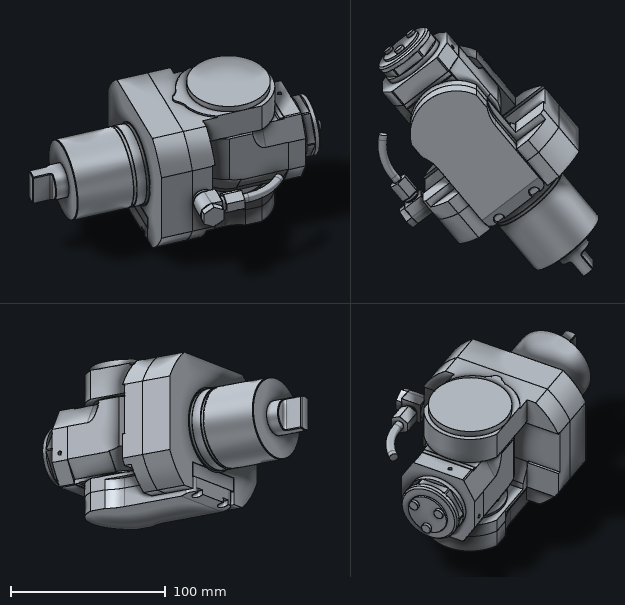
import cadquery as cq
import math

overall_length = 196.38
hexagon_half_step = 30.0

flange_half_width = 50.0
flange_half_height = 44.75
flange_corner_radius = 55.75
adapter_thickness = 21.3
flange_back = 37.1

shank_diameter = 54.0
shank_end = 49.5
shank_chamfer = 0.5
neck_diameter = 53.6
neck_length = 1.6
neck_recess_diameter = 55.8
neck_recess_depth = 0.5
groove_diameter = 52.44
groove_start = 8.2
groove_end = 10.5
tang_diameter = 23.0
tang_round_end = 58.6
tang_tip = 71.8
tang_thickness = 8.4
tang_root_radius = 1.5
tang_chamfer = 0.5

pivot_y = 64.7
fork_half_width = 27.0
cheek_end_radius = 30.0
cheek_side_end = pivot_y + math.sqrt(cheek_end_radius**2 - fork_half_width**2)
cheek_inner = 26.6
cheek_top = 46.0
cap_diameter = 54.0
cap_top = 50.25
washer_radius = 24.2
head_half_height = 24.9
flange_relief_y = 35.3
flange_relief_bottom = -8.3
pad_shoulder = (7.4, 31.2)
pad_side = (19.2, 36.9)
pad_side_start = 47.0
pad_nose_root = (3.9, 28.6)
pad_nose_y = 26.4
gusset_tip_y = 42.7
gusset_slope_end = -22.0
gusset_gap = 0.8

plate_top = -36.0
plate_bottom = -48.5
plate_front = 0.4
plate_half_width = 23.6
plate_corner_radius = 5.0
plate_slope_length = 8.6
plate_slope_height = 2.5
scoop_back = 66.6
scoop_front = 53.7
side_pocket_front = 32.0
side_pocket_top = -29.0
recess_top = -27.0
screw_pocket_diameter = 7.0
screw_pocket_x = 14.6
screw_pocket_y = 2.6
screw_pocket_roof = -43.0

head_nose_radius = 28.0
head_step = 96.0
head_back = 108.0
head_flange_half_height = 26.0
head_front_half_width = 26.9
head_flat_x = 18.7
head_corner_chamfer = 0.6
head_flat_z = 11.1
head_upper_corner_start = 80.5
head_runout_radius = 9.5
head_lower_corner_z = -10.6
head_keel_z = -22.5
nose_foot_radius = 19.4
head_collar_start = 92.0
head_collar_slope = 1.0
head_collar_half_height = 25.6
index_hole_diameter = 2.55
index_hole_depth = 3.0
index_hole_offset = 5.7
index_hole_y = 102.1

nut_diameter = 41.0
nut_flats = 36.0
nut_hex_start = 111.4
nut_hex_end = 117.2
nut_end = 121.1
nut_edge_chamfer = 1.2
nut_face_diameter = 28.0
nut_face_end = 122.5
stud_diameter = 6.5
stud_circle_radius = 10.6
stud_end = overall_length - tang_tip
stud_count = 3
stud_first_angle = 30.0

fitting_y = 28.6
collar_diameter = 14.5
collar_end = 52.2
elbow_width = 15.2
elbow_end = 66.0
end_hex_diameter = 16.0
fitting_end = 70.7
port_x = 58.9
port_diameter = 8.2
ring_diameter = 9.8
port_ring_start = 37.2
hose_nut_start = 39.5
hose_nut_end = 52.0
hose_nut_flats = 12.0
hose_diameter = 6.1
hose_straight = 4.0
hose_bend_radius = 34.0
hose_tail = 3.5
hose_bend_angle = 45.0


def cylinder_y(diameter, start, end):
    """Cylinder along Y on the shank axis."""
    return cq.Workplane("XZ", origin=(0, start, 0)).circle(diameter / 2).extrude(start - end)


def block(x_range, y_range, z_range):
    """Box between the given limits."""
    (x0, x1), (y0, y1), (z0, z1) = x_range, y_range, z_range
    return cq.Workplane("XY").box(x1 - x0, y1 - y0, z1 - z0, centered=False).translate((x0, y0, z0))


def profile_along_x(points, half_width):
    """Polygon of (y, z) points extruded to both sides of X = 0."""
    return cq.Workplane("YZ").polyline(points).close().extrude(half_width, both=True)


def flange_block(start, end):
    """Flange slab whose four corners are rounded about the shank axis."""
    slab = block(
        (-flange_half_width, flange_half_width), (start, end), (-flange_half_height, flange_half_height)
    )
    return slab.intersect(cylinder_y(2 * flange_corner_radius, start, end))


def plate_channel():
    """Space of the clamp plate through the flange block."""
    return block(
        (-plate_half_width, plate_half_width), (0, flange_back), (plate_bottom, plate_top)
    )


def make_adapter():
    """Front flange with the shank and the drive tang."""
    body = flange_block(0, adapter_thickness).cut(plate_channel())
    front_recess = block(
        (-plate_half_width, plate_half_width), (0, plate_front), (-flange_half_height, recess_top)
    )
    body = body.cut(front_recess).cut(cylinder_y(neck_recess_diameter, 0, neck_recess_depth))

    shank = cylinder_y(shank_diameter, -neck_length, -shank_end).faces("<Y").chamfer(shank_chamfer)
    groove = cylinder_y(shank_diameter, -groove_start, -groove_end)
    groove = groove.cut(cylinder_y(groove_diameter, -groove_start, -groove_end))
    neck = cylinder_y(neck_diameter, adapter_thickness / 2, -neck_length)
    return body.union(neck).union(shank.cut(groove)).union(make_tang())


def make_tang():
    """Round stub milled down to a flat key with rounded roots."""
    tang = cylinder_y(tang_diameter, -shank_end, -tang_tip)
    half = tang_thickness / 2
    outside = tang_diameter
    for side in (-1, 1):
        cheek_cut = block((half, outside), (-tang_tip, -tang_round_end), (-outside, outside))
        cheek_cut = cheek_cut.edges("|Z and <X and >Y").fillet(tang_root_radius)
        if side < 0:
            cheek_cut = cheek_cut.mirror("YZ")
        tang = tang.cut(cheek_cut)

    radius = tang_diameter / 2
    for side in (-1, 1):
        shoulder = cq.selectors.BoxSelector(
            (side * radius / 2, -tang_round_end - tang_chamfer, -radius),
            (side * radius, -tang_round_end + tang_chamfer, radius),
        )
        tang = tang.edges(shoulder - cq.selectors.StringSyntaxSelector("|Z")).chamfer(tang_chamfer)
    return tang.faces("<Y").edges().chamfer(tang_chamfer)


def cheek_outline(plane_z):
    """Fork outline behind the flange: straight sides and a round end about the pivot."""
    return (
        cq.Workplane("XY", origin=(0, 0, plane_z))
        .moveTo(-fork_half_width, adapter_thickness)
        .lineTo(-fork_half_width, cheek_side_end)
        .threePointArc((0, pivot_y + cheek_end_radius), (fork_half_width, cheek_side_end))
        .lineTo(fork_half_width, adapter_thickness)
        .close()
    )


def make_pad():
    """Raised pad on the top cheek, pointed toward the flange face."""
    shoulder_x, shoulder_y = pad_shoulder
    side_x, side_y = pad_side
    root_x, root_y = pad_nose_root
    return (
        cq.Workplane("XY", origin=(0, 0, cheek_inner))
        .moveTo(fork_half_width, cheek_side_end)
        .lineTo(fork_half_width, pad_side_start)
        .threePointArc((side_x, side_y), (shoulder_x, shoulder_y))
        .lineTo(root_x, root_y)
        .threePointArc((0, pad_nose_y), (-root_x, root_y))
        .lineTo(-shoulder_x, shoulder_y)
        .threePointArc((-side_x, side_y), (-fork_half_width, pad_side_start))
        .lineTo(-fork_half_width, cheek_side_end)
        .threePointArc((0, pivot_y + cheek_end_radius), (fork_half_width, cheek_side_end))
        .close()
        .extrude(cheek_top - cheek_inner)
    )


def side_pocket(side):
    """Pocket beside the lower cheek, running out to the cheek side on a round scoop."""
    outer = flange_half_width + 1
    step = fork_half_width - plate_half_width
    run = scoop_back - scoop_front
    scoop_radius = (run**2 + step**2) / (2 * step)
    half_run = run / 2
    mid_x = plate_half_width + scoop_radius - math.sqrt(scoop_radius**2 - half_run**2)
    pocket = (
        cq.Workplane("XY", origin=(0, 0, plate_bottom))
        .moveTo(plate_half_width, side_pocket_front)
        .lineTo(plate_half_width, scoop_front)
        .threePointArc((mid_x, scoop_front + half_run), (fork_half_width, scoop_back))
        .lineTo(outer, scoop_back)
        .lineTo(outer, side_pocket_front)
        .close()
        .extrude(side_pocket_top - plate_bottom)
    )
    return pocket if side > 0 else pocket.mirror("YZ")


def make_fork():
    """Rear flange half with two cheeks that hold the swivel head."""
    fork = flange_block(adapter_thickness, flange_back)
    relief = block(
        (-flange_half_width, flange_half_width),
        (flange_relief_y, flange_back),
        (flange_relief_bottom, head_half_height),
    )
    nose_room = block(
        (-fork_half_width, fork_half_width),
        (flange_relief_y, flange_back),
        (-head_half_height, flange_relief_bottom),
    )
    fork = fork.cut(relief).cut(nose_room)
    upper_cheek = cheek_outline(cheek_inner).extrude(flange_half_height - cheek_inner)
    lower_cheek = cheek_outline(plate_top).extrude(-cheek_inner - plate_top)
    gusset = profile_along_x(
        [
            (adapter_thickness, flange_relief_bottom),
            (flange_relief_y, flange_relief_bottom),
            (flange_relief_y, flange_relief_bottom - gusset_gap),
            (gusset_tip_y, gusset_slope_end),
            (gusset_tip_y, -cheek_inner),
            (adapter_thickness, -cheek_inner),
        ],
        fork_half_width,
    )
    cap = cq.Workplane("XY", origin=(0, pivot_y, cheek_top)).circle(cap_diameter / 2)
    cap = cap.extrude(cap_top - cheek_top)
    for part in (upper_cheek, lower_cheek, gusset, make_pad(), cap):
        fork = fork.union(part)

    washer_height = cheek_inner - head_half_height
    for washer_bottom in (head_half_height, -cheek_inner):
        washer = cq.Workplane("XY", origin=(0, pivot_y, washer_bottom)).circle(washer_radius)
        fork = fork.union(washer.extrude(washer_height))

    fork = fork.cut(plate_channel())
    for side in (-1, 1):
        fork = fork.cut(side_pocket(side))
    return fork


def make_clamp_plate():
    """Plate under the fork, reaching through the flange to its front face."""
    thickness = plate_top - plate_bottom
    plate = cheek_outline(plate_bottom).extrude(thickness)
    for side in (-1, 1):
        plate = plate.cut(side_pocket(side))
        beside = block(
            (plate_half_width, fork_half_width), (0, side_pocket_front), (plate_bottom, plate_top)
        )
        plate = plate.cut(beside if side > 0 else beside.mirror("YZ"))
    tongue = block(
        (-plate_half_width, plate_half_width), (plate_front, flange_back), (plate_bottom, plate_top)
    )
    tongue = tongue.edges("|Z and <Y").fillet(plate_corner_radius)
    plate = plate.union(tongue)

    front_slope = profile_along_x(
        [
            (plate_front, plate_bottom),
            (plate_front + plate_slope_length, plate_bottom),
            (plate_front, plate_bottom + plate_slope_height),
        ],
        plate_half_width,
    )
    screw_pockets = (
        cq.Workplane("XY", origin=(0, 0, plate_bottom))
        .pushPoints([(side * screw_pocket_x, screw_pocket_y) for side in (-1, 1)])
        .circle(screw_pocket_diameter / 2)
        .extrude(screw_pocket_roof - plate_bottom)
    )
    return plate.cut(front_slope).cut(screw_pockets)


def make_head():
    """Swivel head: round nose between the cheeks and a bevelled block at the back."""
    nose_y = flange_relief_y
    nose_center_y = nose_y + head_nose_radius
    nose_side_y = nose_center_y - math.sqrt(head_nose_radius**2 - head_front_half_width**2)
    front = (
        cq.Workplane("XY", origin=(0, 0, -head_half_height))
        .moveTo(-head_front_half_width, head_step)
        .lineTo(-head_front_half_width, nose_side_y)
        .threePointArc((0, nose_y), (head_front_half_width, nose_side_y))
        .lineTo(head_front_half_width, head_step)
        .close()
        .extrude(2 * head_half_height)
    )
    for side in (-1, 1):
        front = front.cut(upper_bevel(side)).cut(lower_bevel(side, nose_center_y))
    front = front.cut(make_nose_undercut(nose_center_y))

    collar_full_y = head_collar_start + head_collar_slope
    for side in (-1, 1):
        collar = profile_along_x(
            [
                (head_collar_start, side * head_half_height),
                (collar_full_y, side * head_collar_half_height),
                (head_step, side * head_collar_half_height),
                (head_step, side * head_half_height),
            ],
            head_flat_x,
        )
        front = front.union(collar)

    octagon = []
    for sign_x, sign_z in ((1, 1), (-1, 1), (-1, -1), (1, -1)):
        flat = (sign_x * head_flat_x, sign_z * head_flange_half_height)
        wall = (sign_x * fork_half_width, sign_z * head_flat_z)
        octagon += [wall, flat] if sign_x == sign_z else [flat, wall]
    back = cq.Workplane("XZ", origin=(0, head_step, 0)).polyline(octagon).close()
    back = back.extrude(head_step - head_back)
    back = back.faces(">Z or <Z").edges("|Y").chamfer(head_corner_chamfer)

    top_hole = cq.Workplane("XY", origin=(-index_hole_offset, index_hole_y, head_flange_half_height))
    top_hole = top_hole.circle(index_hole_diameter / 2).extrude(-index_hole_depth)
    side_hole = cq.Workplane("YZ", origin=(-fork_half_width, index_hole_y, -index_hole_offset))
    side_hole = side_hole.circle(index_hole_diameter / 2).extrude(index_hole_depth)
    return front.union(back).cut(top_hole).cut(side_hole)


def upper_bevel(side):
    """Cutter for the bevel of an upper head corner, with a round run-out at its front end."""
    run_x = fork_half_width - head_flat_x
    run_z = head_flange_half_height - head_flat_z
    length = math.hypot(run_x, run_z)
    section = cq.Plane(
        origin=(side * fork_half_width, head_upper_corner_start, head_flat_z),
        xDir=(0, 1, 0),
        normal=(run_x, 0, -side * run_z),
    )
    radius = head_runout_radius
    diagonal = radius * math.sqrt(0.5)
    return (
        cq.Workplane(section)
        .lineTo(head_step - head_upper_corner_start, 0)
        .lineTo(head_step - head_upper_corner_start, radius)
        .lineTo(-radius, radius)
        .threePointArc((-diagonal, radius - diagonal), (0, 0))
        .close()
        .extrude(2 * length, both=True)
    )


def lower_bevel(side, start):
    """Cutter for the bevel along a lower head corner, with an upright strip beside the keel."""
    return (
        cq.Workplane("XZ", origin=(0, start, 0))
        .moveTo(side * fork_half_width, head_lower_corner_z)
        .lineTo(side * head_flat_x, head_keel_z)
        .lineTo(side * head_flat_x, -head_half_height)
        .lineTo(side * fork_half_width, -head_half_height)
        .close()
        .extrude(start - head_step)
    )


def make_nose_undercut(center_y):
    """Cutter that leaves the lower half of the nose as a cone on a short round foot."""
    outside = 2 * head_nose_radius
    ring = (
        cq.Workplane("XZ", origin=(0, center_y, 0))
        .moveTo(head_nose_radius, flange_relief_bottom)
        .lineTo(nose_foot_radius, head_keel_z)
        .lineTo(nose_foot_radius, -head_half_height)
        .lineTo(outside, -head_half_height)
        .lineTo(outside, flange_relief_bottom)
        .close()
        .revolve(360, (0, 0), (0, 1))
    )
    front_half = block(
        (-outside, outside), (center_y - outside, center_y), (-head_half_height, flange_relief_bottom)
    )
    return ring.intersect(front_half)


def make_nut():
    """Collet nut with a hexagon band and face studs."""
    hexagon = cq.Workplane("XZ", origin=(0, nut_hex_start, 0)).transformed(rotate=(0, 0, hexagon_half_step))
    hexagon = hexagon.polygon(6, nut_flats, circumscribed=True).extrude(nut_hex_start - nut_hex_end)
    band = hexagon.intersect(cylinder_y(nut_diameter, nut_hex_start, nut_hex_end))
    rim = cylinder_y(nut_diameter, nut_hex_end, nut_end).faces(">Y").chamfer(nut_edge_chamfer)
    nut = cylinder_y(nut_diameter, head_back, nut_hex_start).union(band).union(rim)
    nut = nut.union(cylinder_y(nut_face_diameter, nut_end, nut_face_end))
    for index in range(stud_count):
        angle = math.radians(stud_first_angle + index * 360 / stud_count)
        x = stud_circle_radius * math.cos(angle)
        z = stud_circle_radius * math.sin(angle)
        nut = nut.union(cylinder_y(stud_diameter, nut_end, stud_end).translate((x, 0, z)))
    return nut


def make_fitting():
    """Elbow fitting with a hexagon plug, a hose nut and a bent hose."""
    def along_x(x):
        return cq.Workplane("YZ", origin=(x, fitting_y, 0))

    def along_y(y):
        return cq.Workplane("XZ", origin=(port_x, y, 0))

    half = elbow_width / 2
    collar = along_x(flange_half_width).circle(collar_diameter / 2)
    collar = collar.extrude(collar_end - flange_half_width)
    elbow = along_x(collar_end).circle(half).extrude(elbow_end - collar_end)
    elbow = elbow.union(
        block((collar_end, elbow_end), (fitting_y, fitting_y + half), (-half, half))
    )
    plug = along_x(elbow_end).transformed(rotate=(0, 0, hexagon_half_step)).polygon(6, end_hex_diameter)
    plug = plug.extrude(fitting_end - elbow_end)

    port = along_y(fitting_y).circle(port_diameter / 2).extrude(fitting_y - hose_nut_start)
    ring = along_y(port_ring_start).circle(ring_diameter / 2)
    ring = ring.extrude(port_ring_start - hose_nut_start)
    hose_nut = along_y(hose_nut_start).polygon(6, hose_nut_flats, circumscribed=True)
    hose_nut = hose_nut.extrude(hose_nut_start - hose_nut_end)
    bend_angle = math.radians(hose_bend_angle)
    tail_cos = math.cos(bend_angle)
    tail_sin = math.sin(bend_angle)
    bend_start = hose_nut_end + hose_straight
    bend_end = (
        port_x - hose_bend_radius * (1 - tail_cos),
        bend_start + hose_bend_radius * tail_sin,
    )
    hose_path = (
        cq.Workplane("XY")
        .moveTo(port_x, hose_nut_end)
        .lineTo(port_x, bend_start)
        .tangentArcPoint(bend_end, relative=False)
        .lineTo(bend_end[0] - hose_tail * tail_sin, bend_end[1] + hose_tail * tail_cos)
    )
    hose = along_y(hose_nut_end).circle(hose_diameter / 2).sweep(hose_path)

    fitting = collar.union(elbow)
    for part in (plug, port, ring, hose_nut, hose):
        fitting = fitting.union(part)
    return fitting


adapter = make_adapter()
fork = make_fork()
clamp_plate = make_clamp_plate()
head = make_head()
nut = make_nut()
fitting = make_fitting()

result = cq.Compound.makeCompound(
    [adapter.val(), fork.val(), clamp_plate.val(), head.val(), nut.val(), fitting.val()]
)